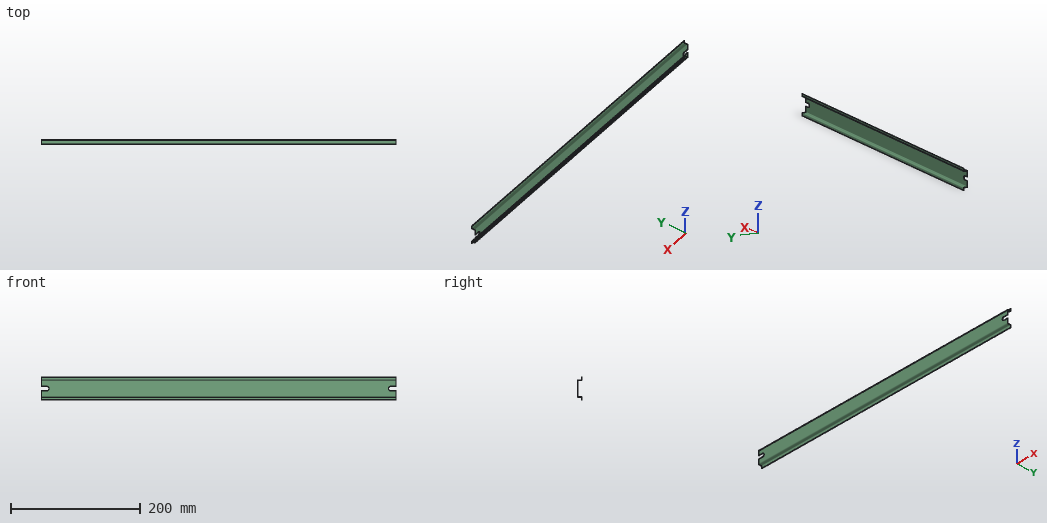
import cadquery as cq

LENGTH = 547.0
WIDTH = 35.0
DEPTH = 7.5
CHANNEL_WIDTH = 27.0
THICKNESS = 1.0
INNER_BEND_RADIUS = 0.8
OUTER_BEND_RADIUS = INNER_BEND_RADIUS + THICKNESS

SLOT_WIDTH = 6.4
SLOT_ARC_CENTER_FROM_END = 8.5
SLOT_LENGTH = SLOT_ARC_CENTER_FROM_END + SLOT_WIDTH / 2


def rail_body():
    """Extrude the bent-sheet profile along X, centred on the origin."""
    web_y = -DEPTH / 2
    lip_y = DEPTH / 2
    half_width = WIDTH / 2
    outer_wall_z = CHANNEL_WIDTH / 2
    inner_wall_z = outer_wall_z - THICKNESS

    profile = (
        cq.Workplane("YZ")
        .workplane(offset=-LENGTH / 2)
        .polyline([
            (web_y, -outer_wall_z),
            (lip_y - THICKNESS, -outer_wall_z),
            (lip_y - THICKNESS, -half_width),
            (lip_y, -half_width),
            (lip_y, -inner_wall_z),
            (web_y + THICKNESS, -inner_wall_z),
            (web_y + THICKNESS, inner_wall_z),
            (lip_y, inner_wall_z),
            (lip_y, half_width),
            (lip_y - THICKNESS, half_width),
            (lip_y - THICKNESS, outer_wall_z),
            (web_y, outer_wall_z),
        ])
        .close()
    )
    return round_bends(profile.extrude(LENGTH), web_y, lip_y, outer_wall_z, inner_wall_z)


def round_bends(body, web_y, lip_y, outer_wall_z, inner_wall_z):
    """Round both faces of the four bends with concentric radii."""
    bend_corners = [
        (web_y, outer_wall_z, OUTER_BEND_RADIUS),
        (web_y + THICKNESS, inner_wall_z, INNER_BEND_RADIUS),
        (lip_y, inner_wall_z, OUTER_BEND_RADIUS),
        (lip_y - THICKNESS, outer_wall_z, INNER_BEND_RADIUS),
    ]
    for y, z, radius in bend_corners:
        for side in (-1, 1):
            corner = cq.selectors.NearestToPointSelector((0, y, side * z))
            body = body.edges("|X").edges(corner).fillet(radius)
    return body


def end_slot(end):
    """Round-bottomed slot cutter, open at the rail end (-1 or 1)."""
    return (
        cq.Workplane("XZ")
        .center(end * LENGTH / 2, 0)
        .slot2D(2 * SLOT_LENGTH, SLOT_WIDTH)
        .extrude(DEPTH, both=True)
    )


result = rail_body()
for rail_end in (-1, 1):
    result = result.cut(end_slot(rail_end))